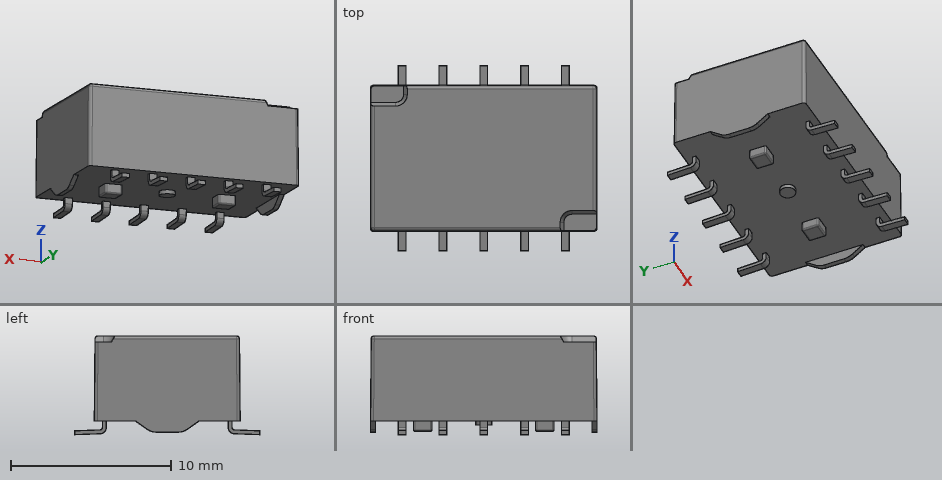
import cadquery as cq
import math

CASE_LENGTH = 14.16
CASE_WIDTH = 9.13
CASE_HEIGHT = 5.32
CASE_DRAFT = 0.5
CASE_EDGE_RADIUS = 0.2

TAB_DEPTH = 0.7
TAB_THICKNESS = 0.33
TAB_ROOT_WIDTH = 3.96
TAB_TIP_WIDTH = 2.0
TAB_TIP_RADIUS = 2.0 / 2

RECESS_LENGTH = 2.08
RECESS_WIDTH = 1.08
RECESS_DEPTH = 0.4
RECESS_RADIUS = 1.0 / 2
RECESS_WALL_SLOPE = 30.0

FOOT_SIZE = 1.16
FOOT_DEPTH = 0.64
FOOT_OFFSET = 3.81
FOOT_EDGE_RADIUS = 0.1
PIN_DIAMETER = 1.0
PIN_DEPTH = 0.25

LEAD_COUNT = 5
LEAD_SPAN = 11.55
LEAD_DEPTH = 0.85
LEAD_PITCH = 2.55
LEAD_WIDTH = 0.5
LEAD_THICKNESS = 0.25
LEAD_LEG_OFFSET = 4.05
LEAD_INNER_RADIUS = 0.15
LEAD_FOOT_SLOPE = 2.0
LEAD_EMBED = 0.14


def make_case():
    """Drafted block with rounded edges; only the end tabs stay below Z = 0."""
    block = (
        cq.Workplane("XY")
        .workplane(offset=-TAB_DEPTH)
        .rect(CASE_LENGTH, CASE_WIDTH)
        .extrude(CASE_HEIGHT + TAB_DEPTH, taper=CASE_DRAFT)
    )
    block = block.edges("not <Z").fillet(CASE_EDGE_RADIUS)
    return block.cut(make_space_below())


def make_space_below():
    """Everything below the case except the two trapezoidal end tabs."""
    depth = 2 * TAB_DEPTH
    whole = cq.Workplane("XY").rect(2 * CASE_LENGTH, 2 * CASE_WIDTH).extrude(-depth)
    tabs = (
        cq.Workplane("YZ")
        .moveTo(-TAB_ROOT_WIDTH / 2, 0)
        .lineTo(-TAB_TIP_WIDTH / 2, -TAB_DEPTH)
        .lineTo(TAB_TIP_WIDTH / 2, -TAB_DEPTH)
        .lineTo(TAB_ROOT_WIDTH / 2, 0)
        .close()
        .extrude(CASE_LENGTH, both=True)
        .edges("|X and <Z")
        .fillet(TAB_TIP_RADIUS)
    )
    middle = cq.Workplane("XY").rect(CASE_LENGTH - 2 * TAB_THICKNESS, CASE_WIDTH).extrude(-depth)
    return whole.cut(tabs.cut(middle))


def make_corner_recess():
    """Cutter for the (-X, +Y) top corner, with walls that lean outwards."""
    floor = cq.Sketch().rect(2 * RECESS_LENGTH, 2 * RECESS_WIDTH).vertices().fillet(RECESS_RADIUS)
    return (
        cq.Workplane("XY")
        .workplane(offset=CASE_HEIGHT - RECESS_DEPTH)
        .center(-CASE_LENGTH / 2, CASE_WIDTH / 2)
        .placeSketch(floor)
        .extrude(RECESS_DEPTH, taper=-RECESS_WALL_SLOPE)
    )


def make_foot(x):
    """Square foot with rounded sides and tip."""
    return (
        cq.Workplane("XY")
        .center(x, 0)
        .rect(FOOT_SIZE, FOOT_SIZE)
        .extrude(-FOOT_DEPTH)
        .edges("|Z or <Z")
        .fillet(FOOT_EDGE_RADIUS)
    )


def make_lead():
    """Lead on the +Y side at X = 0: leg down, bend, then a gently sloping foot."""
    slope = math.radians(LEAD_FOOT_SLOPE)
    tip_y = LEAD_SPAN / 2
    tip_top_z = -LEAD_DEPTH + LEAD_THICKNESS / math.cos(slope)
    inner_y = LEAD_LEG_OFFSET - LEAD_THICKNESS
    run_outer = tip_y - LEAD_LEG_OFFSET
    run_inner = tip_y - inner_y
    lead_bar = (
        cq.Workplane("YZ")
        .moveTo(LEAD_LEG_OFFSET, LEAD_EMBED)
        .lineTo(LEAD_LEG_OFFSET, tip_top_z + run_outer * math.tan(slope))
        .lineTo(tip_y, tip_top_z)
        .lineTo(tip_y, -LEAD_DEPTH)
        .lineTo(inner_y, -LEAD_DEPTH + run_inner * math.tan(slope))
        .lineTo(inner_y, LEAD_EMBED)
        .close()
        .extrude(LEAD_WIDTH / 2, both=True)
    )
    inner_bend = cq.selectors.NearestToPointSelector((0, LEAD_LEG_OFFSET, tip_top_z))
    outer_bend = cq.selectors.NearestToPointSelector((0, inner_y, -LEAD_DEPTH))
    lead_bar = lead_bar.edges("|X").edges(inner_bend).fillet(LEAD_INNER_RADIUS)
    return lead_bar.edges("|X").edges(outer_bend).fillet(LEAD_INNER_RADIUS + LEAD_THICKNESS)


result = make_case()

recess = make_corner_recess()
for turn in (0, 180):
    result = result.cut(recess.rotate((0, 0, 0), (0, 0, 1), turn))

for side in (-1, 1):
    result = result.union(make_foot(side * FOOT_OFFSET))
result = result.union(cq.Workplane("XY").circle(PIN_DIAMETER / 2).extrude(-PIN_DEPTH))

lead = make_lead()
for index in range(LEAD_COUNT):
    lead_x = (index - (LEAD_COUNT - 1) / 2) * LEAD_PITCH
    for turn in (0, 180):
        result = result.union(lead.rotate((0, 0, 0), (0, 0, 1), turn).translate((lead_x, 0, 0)))